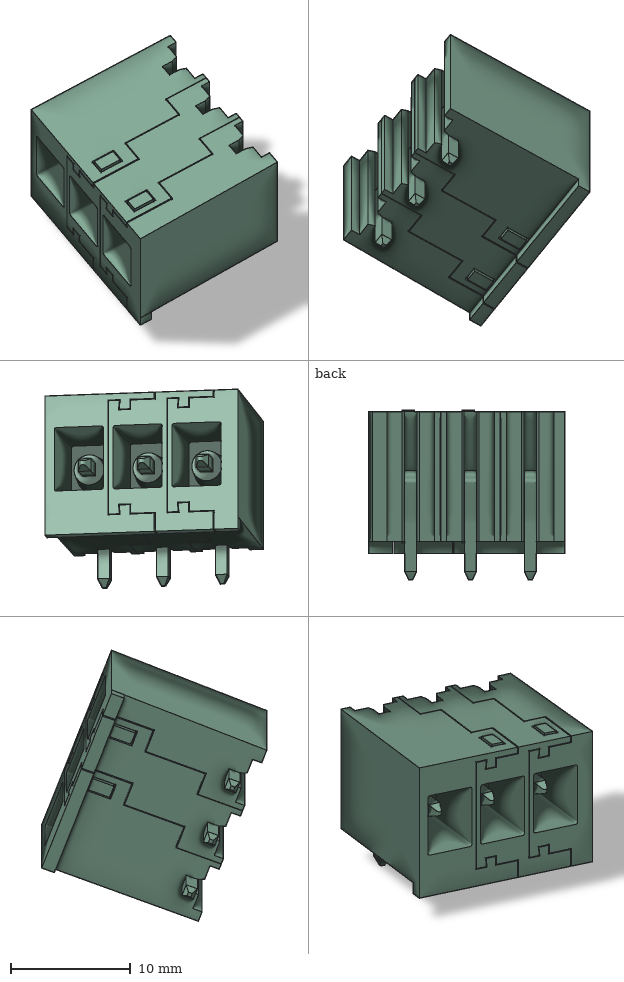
import cadquery as cq
import math

poles = 3
pitch = 5.0
length = 16.4
depth = 14.02
height = 11.87
first_pole_x = 2.89
rear_narrowing = 0.33

foot_height = 1.0
foot_depth = 1.13
body_mid_z = (foot_height + height) / 2

wall_gap = 0.03
joint_gap = 0.07
lip_end_gap = 0.1
lip_thickness = 0.54
rail_length = 9.95
ledge_reach = 1.92
rail_reach = 1.84
rail_width = 0.82
rail_depth = 0.8
rail_undercut = 0.08
lip_reach = 3.9
lip_depth = 4.55

nub_width = 1.05
nub_length = 1.89
nub_rise = 0.11
nub_reach = 2.69
nub_y = 2.25
window_margin = 0.15

cavity_width = 4.17
cavity_height = 5.41
cavity_depth = 7.38
cavity_draft = 0.13
cavity_corner_radius = 0.21
boss_base_radius = 1.5
boss_tip_radius = 1.28
boss_length = 2.46

contact_size = 1.07
tail_size = 1.0
slot_width = 1.07
point_end_size = 0.35
contact_point_length = 1.0
tail_point_length = 0.7
contact_end_radius = 0.23
pin_front_y = 1.8
pin_rear_y = 12.65
tail_length = 2.2

notch_width = 4.0
notch_floor_y = 13.2
throat_mouth_width = 1.46

CORNER = (False, False, False)


def pole_x(index):
    return first_pole_x + index * pitch


def seam_x(index):
    """Plane halfway between pole `index` and the next one."""
    return pole_x(index) + pitch / 2


def box(x0, x1, y0, y1, z0, z1):
    return cq.Workplane("XY").box(x1 - x0, y1 - y0, z1 - z0, centered=CORNER).translate((x0, y0, z0))


def front_profile(points, y0, y1):
    """Extrude an X-Z outline from y0 to y1."""
    return cq.Workplane("XZ", origin=(0, y0, 0)).polyline(points).close().extrude(-(y1 - y0))


def mirrored_below(shape):
    return shape.mirror("XY", (0, 0, body_mid_z))


def joint(seam, side_gap, end_gap, gap):
    """Upper and lower interlocks right of a seam: a hooked rail and a longer front lip.

    With zero gap this is the material of the left housing; with gaps it is the
    recess cut in the right housing.
    """
    lip_bottom = height - lip_thickness - gap
    rail_bottom = lip_bottom - rail_depth
    rail_right = seam + rail_reach + side_gap
    rail_left = seam + rail_reach - rail_width - gap
    ledge_right = seam + ledge_reach + side_gap
    outline = [
        (seam - wall_gap, height),
        (ledge_right, height),
        (ledge_right, lip_bottom),
        (rail_right, lip_bottom),
        (rail_right, rail_bottom),
        (rail_left - rail_undercut, rail_bottom),
        (rail_left, lip_bottom),
        (seam - wall_gap, lip_bottom),
    ]
    rail = front_profile(outline, 0, rail_length + gap)
    lip = box(seam, seam + lip_reach + end_gap, 0, lip_depth + gap, lip_bottom, height)
    upper = rail.union(lip)
    return upper.union(mirrored_below(upper))


def nub_blocks(seam, margin, rise):
    """Rectangular block through the top lip and its twin through the bottom lip."""
    x = seam + nub_reach
    half_width = nub_width / 2 + margin
    half_length = nub_length / 2 + margin
    base = height - lip_thickness - joint_gap
    upper = box(x - half_width, x + half_width, nub_y - half_length, nub_y + half_length, base, height + rise)
    return upper.union(mirrored_below(upper))


def cavity(x):
    """Drafted plug opening that leaves a conical boss around the pin."""
    draft_angle = math.degrees(math.atan(cavity_draft / cavity_depth))
    opening = (
        cq.Workplane("XZ", origin=(x, 0, body_mid_z))
        .rect(cavity_width, cavity_height)
        .extrude(-cavity_depth, taper=draft_angle)
        .edges("not(<Y or >Y)")
        .fillet(cavity_corner_radius)
    )
    boss = (
        cq.Workplane("XZ", origin=(x, cavity_depth, body_mid_z))
        .circle(boss_base_radius)
        .workplane(offset=boss_length)
        .circle(boss_tip_radius)
        .loft()
    )
    return opening.cut(boss)


def pin_passage(x):
    """Square hole for the contact and the open rear notch that takes the bent tail."""
    slot_y = pin_rear_y - tail_size
    half_hole = contact_size / 2
    hole = box(x - half_hole, x + half_hole, 0, slot_y, body_mid_z - half_hole, body_mid_z + half_hole)
    half_slot = slot_width / 2
    half_notch = notch_width / 2
    half_mouth = throat_mouth_width / 2
    right_side = [
        (half_slot, slot_y),
        (half_slot, pin_rear_y),
        (half_mouth, notch_floor_y),
        (half_notch, notch_floor_y),
        (half_notch, depth),
    ]
    left_side = [(-dx, y) for dx, y in reversed(right_side)]
    notch = (
        cq.Workplane("XY", origin=(x, 0, 0))
        .polyline(right_side + left_side).close()
        .extrude(height)
    )
    return hole.union(notch)


def housing(index):
    is_first = index == 0
    is_last = index == poles - 1

    left = 0 if is_first else seam_x(index - 1) + wall_gap / 2
    foot_left = 0 if is_first else seam_x(index - 1) + lip_reach + lip_end_gap
    if is_last:
        right = foot_right = length
        rear_right = length - rear_narrowing
    else:
        right = rear_right = seam_x(index) - wall_gap / 2
        foot_right = seam_x(index) + lip_reach

    plan = [(left, 0), (right, 0), (rear_right, depth), (left, depth)]
    body = (
        cq.Workplane("XY", origin=(0, 0, foot_height))
        .polyline(plan).close()
        .extrude(height - foot_height)
    )
    if not is_first:
        seam = seam_x(index - 1)
        body = body.cut(joint(seam, joint_gap, lip_end_gap, joint_gap))
        body = body.union(nub_blocks(seam, 0, nub_rise))
    if not is_last:
        seam = seam_x(index)
        body = body.union(joint(seam, 0, 0, 0))
        body = body.cut(nub_blocks(seam, window_margin, 0))

    body = body.union(box(foot_left, foot_right, 0, foot_depth, 0, foot_height))
    return body.cut(cavity(pole_x(index))).cut(pin_passage(pole_x(index)))


def square_point(size, point_length):
    """Square point tapering along +Z from the origin."""
    return (
        cq.Workplane("XY")
        .rect(size, size)
        .workplane(offset=point_length)
        .rect(point_end_size, point_end_size)
        .loft()
    )


def contact(x):
    """Straight square bar toward the front, its point rounded off at both sides."""
    half = contact_size / 2
    start = pin_front_y + contact_point_length
    bar = box(x - half, x + half, start, pin_rear_y - tail_size, body_mid_z - half, body_mid_z + half)
    point = (
        square_point(contact_size, contact_point_length)
        .rotate((0, 0, 0), (1, 0, 0), 90)
        .edges("<Y and |Z").fillet(contact_end_radius)
        .translate((x, start, body_mid_z))
    )
    return bar.union(point)


def tail(x):
    """Square tail that bends down behind the contact and ends in a point."""
    half = tail_size / 2
    front = pin_rear_y - tail_size
    bend_bottom = body_mid_z - half
    bottom = tail_point_length - tail_length
    bend_rise = tail_size * math.sin(math.pi / 4)
    bar = (
        cq.Workplane("YZ", origin=(x - half, 0, 0))
        .moveTo(front, bottom)
        .lineTo(front, bend_bottom + tail_size)
        .threePointArc((front + bend_rise, bend_bottom + bend_rise), (pin_rear_y, bend_bottom))
        .lineTo(pin_rear_y, bottom)
        .close()
        .extrude(tail_size)
    )
    point = (
        square_point(tail_size, tail_point_length)
        .rotate((0, 0, 0), (1, 0, 0), 180)
        .translate((x, pin_rear_y - half, bottom))
    )
    return bar.union(point)


def pin(index):
    x = pole_x(index)
    return contact(x).union(tail(x))


housings = [housing(index).val() for index in range(poles)]
pins = [pin(index).val() for index in range(poles)]

result = cq.Compound.makeCompound([*housings, *pins])